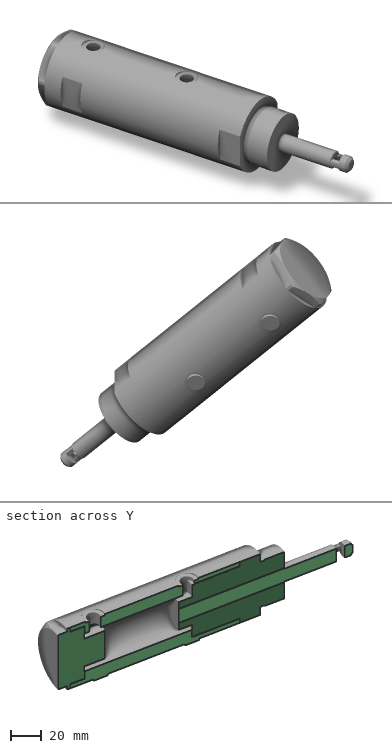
import cadquery as cq
import math

hex_length = 6.7
cap_collar_end = 9.0
gland_head_start = 138.6
gland_head_end = 154.1
neck_end = 157.5
nose_end = 172.5
rod_shank_end = 212.0
rod_head_start = 218.0
overall_length = 224.4

body_radius = 26.0
flat_offset = 23.3
flat_start = 19.0
flat_length = 15.0

port_positions = (28.3, 99.4)
port_radius = 4.7
spot_face_radius = 7.6
spot_face_height = math.sqrt(body_radius**2 - spot_face_radius**2)
boss_positions = (32.5, 102.0)
boss_radius = 6.0
boss_bottom = -27.1

bore_radius = 16.0
thread_radius = 22.0
stub_radius = 12.1
cap_spigot_end = 20.2
cap_stub_end = port_positions[0] + spot_face_radius
gland_stub_end = port_positions[1] - spot_face_radius
gland_spigot_end = 102.0

hex_width = 46.0
hex_turn = 23.0
cap_face_radius = 22.9
cap_chamfer_length = 2.2

nose_radius = 20.0
neck_radius = 19.3
neck_chamfer = 1.0

rod_radius = 6.0
rod_edge_chamfer = 0.5
rod_head_radius = 5.5
rod_tip_chamfer = 1.8
tongue_thickness = 4.0
slot_width = 4.5


def x_cylinder(radius, start, end):
    """Round bar on the X axis between two stations."""
    return cq.Workplane("YZ", origin=(start, 0, 0)).circle(radius).extrude(end - start)


def z_cylinder(radius, x, bottom, top):
    """Upright round bar that crosses the X axis at the given station."""
    return cq.Workplane("XY", origin=(x, 0, bottom)).circle(radius).extrude(top - bottom)


def cut_side_flats(body, start, end):
    """Cut a pair of parallel wrench flats into the -Y and +Y sides."""
    depth = body_radius - flat_offset
    for side in (-1, 1):
        center_y = side * (flat_offset + depth / 2)
        cutter = cq.Workplane("XY").box(end - start, depth, 2 * body_radius)
        body = body.cut(cutter.translate(((start + end) / 2, center_y, 0)))
    return body


def make_housing():
    """Barrel with two ports, two bosses, side flats and a bore counterbored at both ends."""
    housing = x_cylinder(body_radius, cap_collar_end, gland_head_start)
    for x in boss_positions:
        housing = housing.union(z_cylinder(boss_radius, x, boss_bottom, -bore_radius))
    housing = cut_side_flats(housing, flat_start, flat_start + flat_length)
    for x in port_positions:
        housing = housing.cut(z_cylinder(spot_face_radius, x, spot_face_height, body_radius))
        housing = housing.cut(z_cylinder(port_radius, x, 0, body_radius))
    housing = housing.cut(x_cylinder(bore_radius, cap_collar_end, gland_head_start))
    housing = housing.cut(x_cylinder(thread_radius, cap_collar_end, cap_spigot_end))
    return housing.cut(x_cylinder(thread_radius, gland_spigot_end, gland_head_start))


def make_cap():
    """Hexagon-headed cap with a collar, a threaded spigot and a stub below the first port."""
    hexagon = (
        cq.Workplane("YZ")
        .polygon(6, hex_width, circumscribed=True)
        .extrude(hex_length)
        .rotate((0, 0, 0), (1, 0, 0), hex_turn)
    )
    chamfered_round = (
        cq.Workplane("XY")
        .moveTo(0, 0)
        .lineTo(0, cap_face_radius)
        .lineTo(cap_chamfer_length, body_radius)
        .lineTo(hex_length, body_radius)
        .lineTo(hex_length, 0)
        .close()
        .revolve(360, (0, 0, 0), (1, 0, 0))
    )
    cap = hexagon.intersect(chamfered_round)
    cap = cap.union(x_cylinder(body_radius, hex_length, cap_collar_end))
    cap = cap.union(x_cylinder(thread_radius, cap_collar_end, cap_spigot_end))
    return cap.union(x_cylinder(stub_radius, cap_spigot_end, cap_stub_end))


def make_gland():
    """Rod guide: stub, threaded spigot, head with side flats, and a grooved nose."""
    profile = [
        (gland_stub_end, 0),
        (gland_stub_end, stub_radius),
        (gland_spigot_end, stub_radius),
        (gland_spigot_end, thread_radius),
        (gland_head_start, thread_radius),
        (gland_head_start, body_radius),
        (gland_head_end, body_radius),
        (gland_head_end, neck_radius),
        (neck_end - neck_chamfer, neck_radius),
        (neck_end, nose_radius),
        (nose_end, nose_radius),
        (nose_end, 0),
    ]
    gland = cq.Workplane("XY").polyline(profile).close().revolve(360, (0, 0, 0), (1, 0, 0))
    gland = cut_side_flats(gland, gland_head_start, gland_head_end)
    return gland.cut(x_cylinder(rod_radius, gland_stub_end, nose_end))


def make_rod():
    """Rod with a round head joined to its shank by a flat tongue with a square window."""
    shank = x_cylinder(rod_radius, gland_stub_end, rod_shank_end)
    shank = shank.faces(">X").chamfer(rod_edge_chamfer)
    end = x_cylinder(rod_head_radius, rod_shank_end, overall_length)
    end = end.faces(">X").chamfer(rod_tip_chamfer)

    tongue_length = rod_head_start - rod_shank_end
    tongue_middle = (rod_shank_end + rod_head_start) / 2
    around_tongue = (
        cq.Workplane("XY")
        .box(tongue_length, 2 * rod_radius, 2 * rod_radius)
        .cut(cq.Workplane("XY").box(tongue_length, 2 * rod_radius, tongue_thickness))
    )
    window = cq.Workplane("XY").box(tongue_length, slot_width, tongue_thickness)
    for cutter in (around_tongue, window):
        end = end.cut(cutter.translate((tongue_middle, 0, 0)))
    return shank.union(end)


housing = make_housing()
cap = make_cap()
gland = make_gland()
rod = make_rod()

result = cq.Compound.makeCompound([housing.val(), cap.val(), gland.val(), rod.val()])